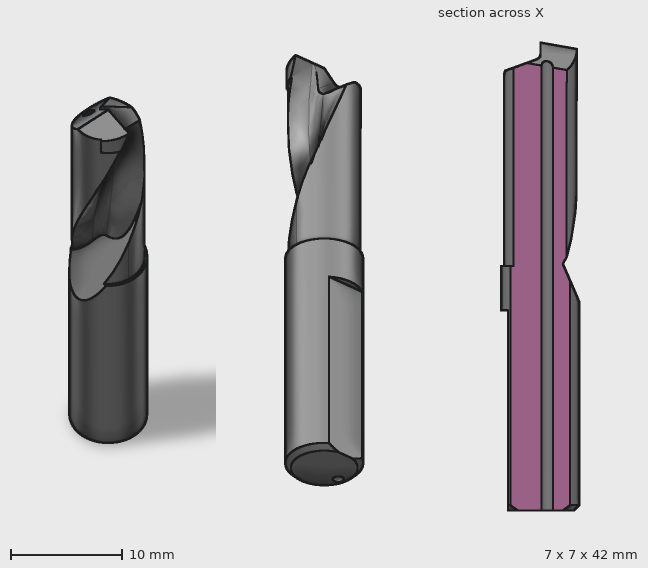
import cadquery as cq
import math

LENGTH = 42.0
SHANK_DIAMETER = 7.0
SHANK_LENGTH = 21.95
NECK_RADIUS = 3.28
END_CHAMFER = 0.5

FLAT_OFFSET = 2.9
FLAT_LENGTH = 17.98

TWIST_RATE = 6.905
FLUTE_ANGLE = 109.0
FLUTE_BOTTOM = 16.8
FLUTE_REACH = 5.9
FLUTE_CORNER_X = 0.67
FLUTE_CORNER_RADIUS = 1.25
RUNOUT_START = 18.75
RUNOUT_ANGLE = 23.3

TIP_RELIEF = 10.0
TIP_SLOPE = 42.0
GASH_DEPTH = 1.4
GASH_SLOPE = 20.0
GASH_CORNER_RADIUS = 0.75
RIDGE_START = (-1.75, 0.65)
RIDGE_END = (-0.92, 3.02)
RIDGE_FALL = 30.0

LIP_RADIUS = 3.4
LIP_HEIGHT = 2.0
LIP_ANGLE = 45.0

COOLANT_DIAMETER = 1.0
COOLANT_X = -2.23
COOLANT_Y = -0.65

SHANK_RADIUS = SHANK_DIAMETER / 2
CUT_SIZE = 2 * SHANK_DIAMETER


def slope(angle):
    return math.tan(math.radians(angle))


def polar(radius, angle):
    return radius * math.cos(math.radians(angle)), radius * math.sin(math.radians(angle))


def make_body():
    shank = cq.Workplane("XY").circle(SHANK_RADIUS).extrude(SHANK_LENGTH)
    flat = (
        cq.Workplane("XY")
        .box(CUT_SIZE, CUT_SIZE, FLAT_LENGTH, centered=(True, False, False))
        .translate((0, FLAT_OFFSET, 0))
    )
    shank = shank.faces("<Z").chamfer(END_CHAMFER).cut(flat)
    neck = (
        cq.Workplane("XY", origin=(0, 0, SHANK_LENGTH))
        .circle(NECK_RADIUS)
        .extrude(LENGTH - SHANK_LENGTH)
    )
    return shank.union(neck)


def make_lip():
    """Raised margin just behind the cutting edge."""
    return (
        cq.Workplane("XY", origin=(0, 0, LENGTH - LIP_HEIGHT))
        .lineTo(LIP_RADIUS, 0)
        .threePointArc(polar(LIP_RADIUS, -LIP_ANGLE / 2), polar(LIP_RADIUS, -LIP_ANGLE))
        .close()
        .extrude(LIP_HEIGHT)
    )


def make_flute():
    """Twisted wedge, limited by the sloping floor where it runs out of the shank."""
    height = LENGTH - FLUTE_BOTTOM
    twist = TWIST_RATE * height
    wall_x, wall_y = polar(NECK_RADIUS, FLUTE_ANGLE)
    wall_angle = math.degrees(math.atan2(wall_y, wall_x - FLUTE_CORNER_X))
    half = math.radians(wall_angle / 2)
    tangent = FLUTE_CORNER_RADIUS / math.tan(half)
    bisector = FLUTE_CORNER_RADIUS / math.sin(half) - FLUTE_CORNER_RADIUS

    def from_corner(distance, angle):
        x, y = polar(distance, angle)
        return FLUTE_CORNER_X + x, y

    wedge = (
        cq.Workplane("XY")
        .moveTo(*from_corner(tangent, 0))
        .lineTo(*from_corner(FLUTE_REACH, 0))
        .lineTo(*from_corner(FLUTE_REACH, wall_angle / 2))
        .lineTo(*from_corner(FLUTE_REACH, wall_angle))
        .lineTo(*from_corner(tangent, wall_angle))
        .threePointArc(from_corner(bisector, wall_angle / 2), from_corner(tangent, 0))
        .close()
        .twistExtrude(height, twist)
        .rotate((0, 0, 0), (0, 0, 1), -twist)
        .translate((0, 0, FLUTE_BOTTOM))
    )
    run = LENGTH - RUNOUT_START
    floor_end = -SHANK_RADIUS + run * slope(RUNOUT_ANGLE)
    clearance = (
        cq.Workplane("YZ")
        .polyline([
            (-SHANK_RADIUS, RUNOUT_START),
            (floor_end, LENGTH),
            (-CUT_SIZE, LENGTH),
            (-CUT_SIZE, RUNOUT_START),
        ])
        .close()
        .extrude(CUT_SIZE, both=True)
    )
    return wedge.intersect(clearance)


def make_tip_cuts():
    """End relief, sloping back face and gash in front of the cutting edge."""
    relief = (
        cq.Workplane("YZ")
        .polyline([
            (0, LENGTH),
            (-CUT_SIZE, LENGTH - CUT_SIZE * slope(TIP_RELIEF)),
            (-CUT_SIZE, LENGTH),
        ])
        .close()
        .extrude(CUT_SIZE, both=True)
    )
    back_face = (
        cq.Workplane(cq.Plane((0, 0, LENGTH), xDir=(1, 0, 0), normal=(0, -1, -slope(TIP_RELIEF))))
        .polyline([
            (0, 0),
            (-CUT_SIZE, -CUT_SIZE * slope(TIP_SLOPE)),
            (-CUT_SIZE, CUT_SIZE),
            (0, CUT_SIZE),
        ])
        .close()
        .extrude(CUT_SIZE, both=True)
    )
    floor = LENGTH - GASH_DEPTH
    gash = (
        cq.Workplane("YZ")
        .polyline([
            (0, floor),
            (CUT_SIZE, floor - CUT_SIZE * slope(GASH_SLOPE)),
            (CUT_SIZE, LENGTH),
            (0, LENGTH),
        ])
        .close()
        .extrude(CUT_SIZE, both=True)
        .edges(cq.selectors.NearestToPointSelector((0, 0, floor)))
        .fillet(GASH_CORNER_RADIUS)
    )
    ridge_run = RIDGE_END[0] - RIDGE_START[0], RIDGE_END[1] - RIDGE_START[1]
    ridge_drop = ridge_run[1] * slope(GASH_SLOPE)
    ridge_plane = cq.Plane(
        (*RIDGE_START, floor - RIDGE_START[1] * slope(GASH_SLOPE)),
        xDir=(ridge_run[1], -ridge_run[0], 0),
        normal=(-ridge_run[0], -ridge_run[1], ridge_drop),
    )
    front_of_rake = (
        cq.Workplane("XY")
        .box(CUT_SIZE, CUT_SIZE, CUT_SIZE, centered=(True, False, True))
        .translate((0, 0, LENGTH))
    )
    gash_fall = (
        cq.Workplane(ridge_plane)
        .polyline([(0, 0), (CUT_SIZE, -CUT_SIZE * slope(RIDGE_FALL)), (CUT_SIZE, CUT_SIZE)])
        .close()
        .extrude(CUT_SIZE, both=True)
        .intersect(front_of_rake)
        .edges(cq.selectors.NearestToPointSelector((CUT_SIZE / 4, 0, floor - CUT_SIZE / 4)))
        .fillet(GASH_CORNER_RADIUS)
    )
    return [relief, back_face, gash, gash_fall]


coolant_hole = (
    cq.Workplane("XY")
    .center(COOLANT_X, COOLANT_Y)
    .circle(COOLANT_DIAMETER / 2)
    .extrude(LENGTH)
)

result = make_body().union(make_lip()).cut(make_flute())
for tip_cut in make_tip_cuts():
    result = result.cut(tip_cut)
result = result.cut(coolant_hole)